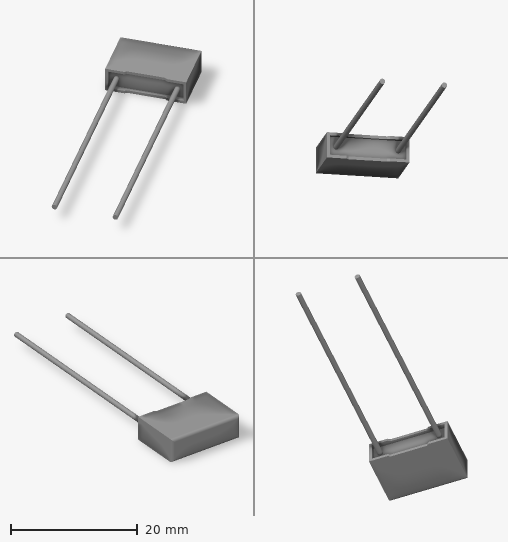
import cadquery as cq

total_length = 44.1
case_width = 13.3
case_length = 9.1
case_thickness = 4.2

wall = 0.5
back_edge_radius = 0.5
notch_floor_width = 6.25
notch_depth = 0.25
notch_flank_run = 0.35

resin_recess = 0.8
lead_diameter = 0.9
lead_pitch = 10.0

lead_tip_y = case_length - total_length
cavity_width = case_width - 2 * wall
cavity_thickness = case_thickness - 2 * wall
cavity_depth = case_length - wall


def block_along_y(width, thickness, start_y, end_y):
    """Box centred on X and Z that spans start_y to end_y."""
    return (
        cq.Workplane("XY")
        .box(width, end_y - start_y, thickness, centered=(True, False, True))
        .translate((0, start_y, 0))
    )


def make_rim_notch():
    """Shallow trapezoid that cuts through both broad walls at the rim."""
    floor_half = notch_floor_width / 2
    mouth_half = floor_half + notch_flank_run
    return (
        cq.Workplane("XY")
        .polyline([
            (-mouth_half, 0),
            (mouth_half, 0),
            (floor_half, notch_depth),
            (-floor_half, notch_depth),
        ])
        .close()
        .extrude(case_thickness / 2, both=True)
    )


def make_case():
    """Box open toward -Y, with rounded edges around its closed back."""
    shell = block_along_y(case_width, case_thickness, 0, case_length)
    shell = shell.faces(">Y").edges().fillet(back_edge_radius)
    cavity = block_along_y(cavity_width, cavity_thickness, 0, cavity_depth)
    return shell.cut(cavity).cut(make_rim_notch())


def make_resin_fill():
    """Potting block that fills the cavity up to a level below the rim."""
    return block_along_y(cavity_width, cavity_thickness, resin_recess, cavity_depth)


def make_lead(x):
    """Round wire that runs from the resin face to the lead tip."""
    return (
        cq.Workplane("XZ", origin=(x, resin_recess, 0))
        .circle(lead_diameter / 2)
        .extrude(resin_recess - lead_tip_y)
    )


case = make_case()
resin_fill = make_resin_fill()
leads = [make_lead(side * lead_pitch / 2) for side in (-1, 1)]

result = cq.Compound.makeCompound([
    case.val(),
    resin_fill.val(),
    *[lead.val() for lead in leads],
])